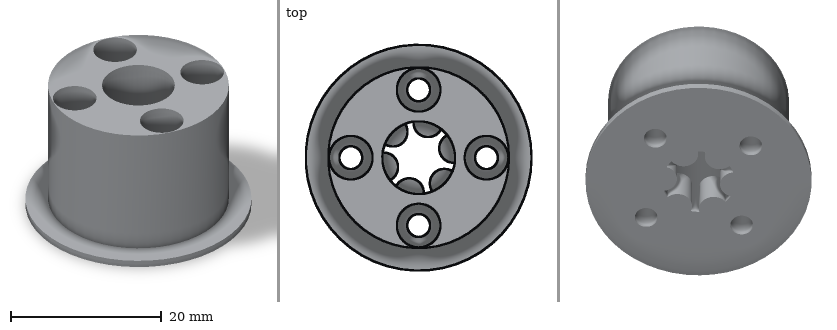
import cadquery as cq

flange_diameter = 30.0
flange_thickness = 1.0
body_diameter = 24.0
body_height = 18.0
total_height = flange_thickness + body_height

screw_count = 4
screw_circle_radius = 9.0
screw_hole_diameter = 3.0
counterbore_diameter = 5.8
counterbore_floor = 4.98

bore_diameter = 9.65
lobe_count = 6
lobe_radius = 1.95
lobe_circle_radius = bore_diameter / 2
first_lobe_angle = 15.0
lobe_height = counterbore_floor


def flanged_body():
    flange = cq.Workplane("XY").circle(flange_diameter / 2).extrude(flange_thickness)
    body = cq.Workplane("XY").circle(body_diameter / 2).extrude(total_height)
    return flange.union(body)


def screw_hole_cutter():
    """Through holes with counterbores open at the top of the body."""
    holes = (
        cq.Workplane("XY")
        .polarArray(screw_circle_radius, 0, 360, screw_count)
        .circle(screw_hole_diameter / 2)
        .extrude(total_height)
    )
    counterbores = (
        cq.Workplane("XY", origin=(0, 0, counterbore_floor))
        .polarArray(screw_circle_radius, 0, 360, screw_count)
        .circle(counterbore_diameter / 2)
        .extrude(total_height - counterbore_floor)
    )
    return holes.union(counterbores)


def splined_bore_cutter():
    """Round bore that leaves the lobes standing in its lower end."""
    bore = cq.Workplane("XY").circle(bore_diameter / 2).extrude(total_height)
    lobes = (
        cq.Workplane("XY")
        .polarArray(lobe_circle_radius, first_lobe_angle, 360, lobe_count)
        .circle(lobe_radius)
        .extrude(lobe_height)
    )
    return bore.cut(lobes)


result = flanged_body().cut(screw_hole_cutter()).cut(splined_bore_cutter())